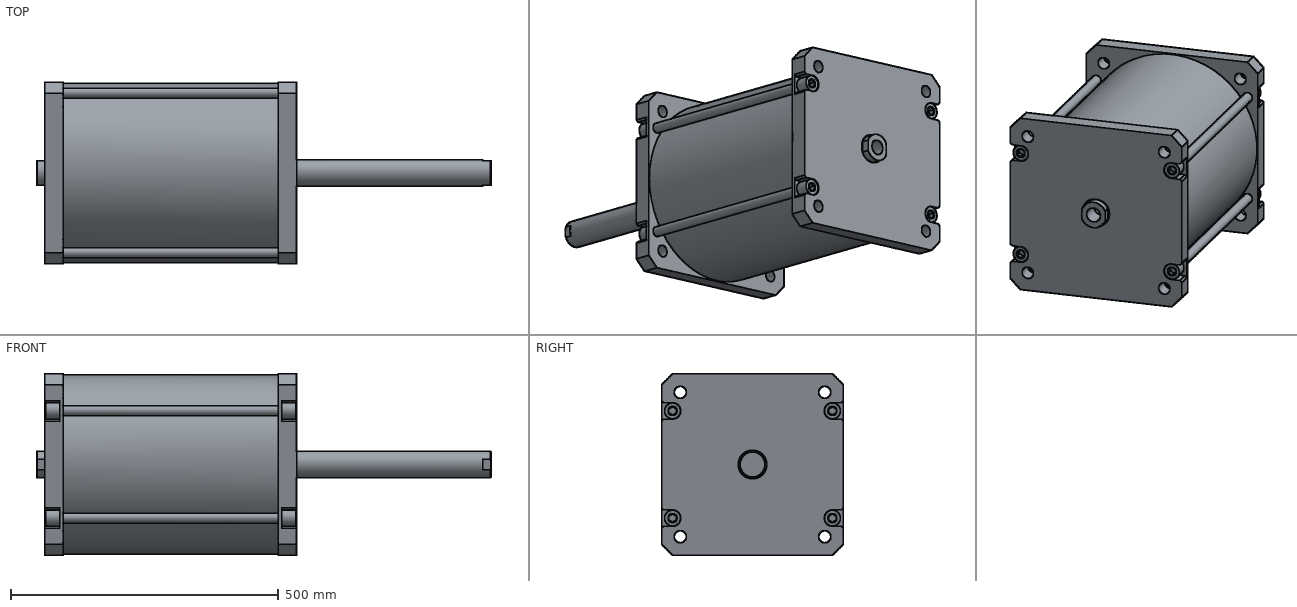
import cadquery as cq
import math

ROD_LENGTH = 850.0
PLATE_SIDE = 340.0
PLATE_THICKNESS = 35.0
REAR_PLATE_X = 14.5
FRONT_PLATE_X = 451.0
FRONT_PLATE_END_X = FRONT_PLATE_X + PLATE_THICKNESS
BARREL_START_X = REAR_PLATE_X + PLATE_THICKNESS
BARREL_DIAMETER = 337.0

ROD_DIAMETER = 50.0
FLAT_WIDTH = 46.0
FLAT_LENGTH = 15.0
TIP_CHAMFER = 2.0
DRILL_DIAMETER = 27.0
DRILL_DEPTH = 42.5
DRILL_TIP_ANGLE = 120.0

CORNER_CHAMFER = 20.0
BORE_CHAMFER = 2.0
MOUNT_HOLE_DIAMETER = 22.0
MOUNT_HOLE_OFFSET = 135.0

TIE_Y = 150.0
TIE_Z = 100.0
TIE_DIAMETER = 19.0
HEAD_DIAMETER = 30.0
HEAD_LENGTH = 26.0
SLOT_DEPTH = 28.0
SLOT_WIDTH = 31.0
SLOT_LIP = 3.8
SOCKET_SIZE = 14.0
SOCKET_DEPTH = 13.0
SOCKET_RIM_DIAMETER = 17.0
SOCKET_RIM_DEPTH = 2.0
SOCKET_RIM_TAPER = 45.0
HEX_HALF_ANGLE = 30.0

PLATE_HALF = PLATE_SIDE / 2
TIE_START_X = REAR_PLATE_X + SLOT_DEPTH
TIE_END_X = FRONT_PLATE_END_X - SLOT_DEPTH
TIE_PLACES = [(y, z) for y in (-TIE_Y, TIE_Y) for z in (-TIE_Z, TIE_Z)]


def cylinder_x(diameter, start_x, end_x, y=0.0, z=0.0):
    """Round bar along X from start_x to end_x."""
    profile = cq.Workplane("YZ", origin=(start_x, 0, 0)).center(y, z)
    return profile.circle(diameter / 2).extrude(end_x - start_x)


def head_slot(start_x, y, z):
    """Slot for one tie rod head, rounded inside and flared where it opens at the plate side."""
    side = math.copysign(1, y)
    half = SLOT_WIDTH / 2
    edge = side * PLATE_HALF
    profile = (
        cq.Workplane("YZ", origin=(start_x, 0, 0))
        .moveTo(y, z + half)
        .threePointArc((y - side * half, z), (y, z - half))
        .lineTo(edge - side * SLOT_LIP, z - half)
        .lineTo(edge, z - half - SLOT_LIP)
        .lineTo(edge, z + half + SLOT_LIP)
        .lineTo(edge - side * SLOT_LIP, z + half)
        .close()
    )
    return profile.extrude(SLOT_DEPTH)


def make_plate(start_x, slot_x, outer_face):
    """Square end plate with cut corners, mounting holes, chamfered rod bore and tie rod seats."""
    end_x = start_x + PLATE_THICKNESS
    plate = (
        cq.Workplane("YZ", origin=(start_x, 0, 0))
        .rect(PLATE_SIDE, PLATE_SIDE)
        .extrude(PLATE_THICKNESS)
        .edges("|X")
        .chamfer(CORNER_CHAMFER)
    )
    plate = plate.cut(cylinder_x(ROD_DIAMETER, start_x, end_x))
    plate = plate.faces(outer_face).edges("%CIRCLE").chamfer(BORE_CHAMFER)
    for y in (-MOUNT_HOLE_OFFSET, MOUNT_HOLE_OFFSET):
        for z in (-MOUNT_HOLE_OFFSET, MOUNT_HOLE_OFFSET):
            plate = plate.cut(cylinder_x(MOUNT_HOLE_DIAMETER, start_x, end_x, y, z))
    for y, z in TIE_PLACES:
        plate = plate.cut(cylinder_x(TIE_DIAMETER, start_x, end_x, y, z))
        plate = plate.cut(head_slot(slot_x, y, z))
    return plate


def make_barrel():
    """Cylinder barrel between the plates, bored for the rod."""
    barrel = cylinder_x(BARREL_DIAMETER, BARREL_START_X, FRONT_PLATE_X)
    return barrel.cut(cylinder_x(ROD_DIAMETER, BARREL_START_X, FRONT_PLATE_X))


def flat_cutter(start_x, side):
    """Block that mills one wrench flat on the rod, on the +Y or -Y side."""
    cutter = cq.Workplane("YZ", origin=(start_x, 0, 0)).rect(ROD_DIAMETER, ROD_DIAMETER).extrude(FLAT_LENGTH)
    return cutter.translate((0, side * (FLAT_WIDTH + ROD_DIAMETER) / 2, 0))


def make_rod():
    """Through rod with wrench flats at both ends, a chamfered front tip and a drilled hole in the rear."""
    rod = cylinder_x(ROD_DIAMETER, 0, ROD_LENGTH).faces(">X").chamfer(TIP_CHAMFER)
    for start_x in (0, ROD_LENGTH - FLAT_LENGTH):
        for side in (-1, 1):
            rod = rod.cut(flat_cutter(start_x, side))
    radius = DRILL_DIAMETER / 2
    tip = radius / math.tan(math.radians(DRILL_TIP_ANGLE / 2))
    drill = (
        cq.Workplane("XY")
        .polyline([(0, 0), (0, radius), (DRILL_DEPTH, radius), (DRILL_DEPTH + tip, 0)])
        .close()
        .revolve(360, (0, 0, 0), (1, 0, 0))
    )
    return rod.cut(drill)


def socket(end_x, inward, y, z):
    """Hexagon socket with a conical rim, cut from a head end in the inward X direction."""
    across_corners = SOCKET_SIZE / math.cos(math.radians(HEX_HALF_ANGLE))
    profile = cq.Workplane("YZ", origin=(end_x, 0, 0)).center(y, z)
    hexagon = profile.polygon(6, across_corners).extrude(inward * SOCKET_DEPTH)
    hexagon = hexagon.rotate((0, y, z), (1, y, z), HEX_HALF_ANGLE)
    rim = profile.circle(SOCKET_RIM_DIAMETER / 2).extrude(inward * SOCKET_RIM_DEPTH, taper=SOCKET_RIM_TAPER)
    return hexagon.union(rim)


def make_tie_rod(y, z):
    """Tie rod with a round socket head at each end."""
    rear_x = TIE_START_X - HEAD_LENGTH
    front_x = TIE_END_X + HEAD_LENGTH
    tie = cylinder_x(TIE_DIAMETER, TIE_START_X, TIE_END_X, y, z)
    tie = tie.union(cylinder_x(HEAD_DIAMETER, rear_x, TIE_START_X, y, z))
    tie = tie.union(cylinder_x(HEAD_DIAMETER, TIE_END_X, front_x, y, z))
    return tie.cut(socket(rear_x, 1, y, z)).cut(socket(front_x, -1, y, z))


rear_plate = make_plate(REAR_PLATE_X, REAR_PLATE_X, "<X")
front_plate = make_plate(FRONT_PLATE_X, TIE_END_X, ">X")
barrel = make_barrel()
piston_rod = make_rod()
tie_rods = [make_tie_rod(y, z) for y, z in TIE_PLACES]

result = cq.Compound.makeCompound([
    rear_plate.val(),
    front_plate.val(),
    barrel.val(),
    piston_rod.val(),
    *[tie.val() for tie in tie_rods],
])